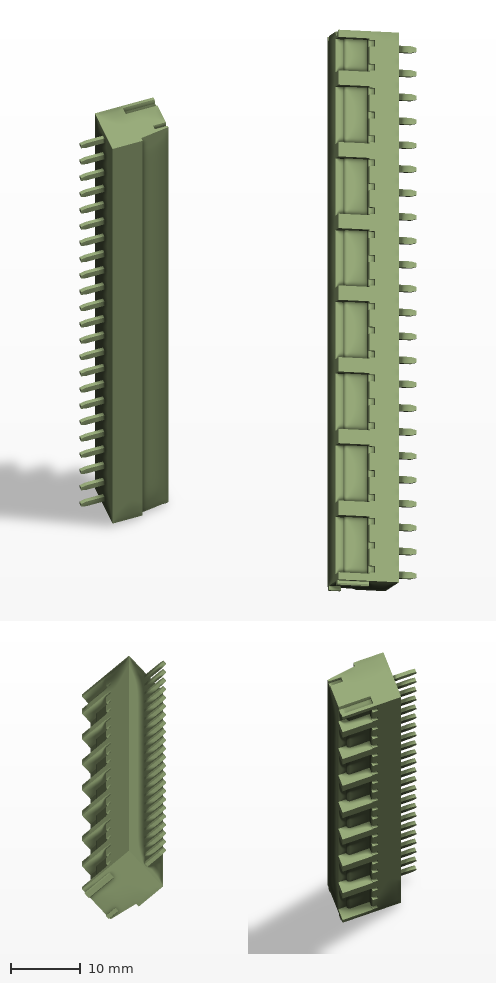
import cadquery as cq
import math

total_length = 81.05
total_depth = 12.6
width = 7.4
poles = 23
poles_per_bay = 3

body_depth = 9.0
key_height = 0.65
body_length = total_length - key_height
pitch = body_length / poles

slope_length = 4.4
slope_back_x = 6.2
slope_front_x = 6.8

rib_half = 1.05
bay_back_depth = 1.8
bay_step_radius = 0.5
bay_front_depth = bay_back_depth - bay_step_radius
bay_back_length = 1.2
bay_length = 4.6

notch_size = 1.0
notch_length = 0.8
notch_depth = 0.5

pin_x = width / 2
pin_width = 0.6
pin_height = 1.0
pin_tip_height = 0.6
pin_taper_length = 0.8
pin_embed = 0.8

key_middle_height = 0.4
keys = [
    (1.05, 0.8, 1.05, 0.8, 4.7),
    (5.5, 0.5, 0.65, 0.5, 1.8),
]

grooves = [
    (1.05, 1.2, 0.8, 4.9),
    (5.5, 0.7, 0.6, 1.95),
]


def make_body():
    outline = [
        (0, 0),
        (slope_back_x, 0),
        (slope_front_x, -slope_length),
        (width, -slope_length),
        (width, -body_depth),
        (0, -body_depth),
    ]
    return cq.Workplane("XY").polyline(outline).close().extrude(body_length)


def make_bay(bottom, top):
    """Recess with a deep pocket at the back and a rounded step up to its shallower front floor."""
    step_end_y = -bay_back_length - bay_step_radius
    round_middle = (
        bay_front_depth + bay_step_radius * (1 - math.sqrt(0.5)),
        step_end_y + bay_step_radius * math.sqrt(0.5),
    )
    profile = (
        cq.Workplane("XY", origin=(0, 0, bottom))
        .lineTo(bay_back_depth, 0)
        .lineTo(bay_back_depth, -bay_back_length)
        .threePointArc(round_middle, (bay_front_depth, step_end_y))
        .lineTo(bay_front_depth, -bay_length)
        .lineTo(0, -bay_length)
        .close()
    )
    return profile.extrude(top - bottom)


def make_notch(z):
    notch = cq.Workplane("XY").box(2 * notch_depth, notch_length, notch_size)
    return notch.translate((0, -bay_length - notch_length / 2, z))


def make_pin(z):
    """Flat pin whose tip narrows in Z only; it starts inside the housing to fuse with it."""
    root_y = -body_depth + pin_embed
    taper_y = -total_depth + pin_taper_length
    half = pin_height / 2
    tip_half = pin_tip_height / 2
    outline = [
        (root_y, z - half),
        (taper_y, z - half),
        (-total_depth, z - tip_half),
        (-total_depth, z + tip_half),
        (taper_y, z + half),
        (root_y, z + half),
    ]
    profile = cq.Workplane("YZ", origin=(pin_x, 0, 0)).polyline(outline).close()
    return profile.extrude(pin_width / 2, both=True)


def make_bar(center_x, top, levels, length):
    """Bar hanging below the height top; levels lists its (depth below top, width) pairs downwards."""
    left = [(center_x - bar_width / 2, top - drop) for drop, bar_width in levels]
    right = [(center_x + bar_width / 2, top - drop) for drop, bar_width in reversed(levels)]
    return cq.Workplane("XZ").polyline(left + right).close().extrude(length)


result = make_body()

for first_pole in range(0, poles, poles_per_bay):
    last_pole = min(first_pole + poles_per_bay, poles)
    result = result.cut(make_bay(first_pole * pitch + rib_half, last_pole * pitch - rib_half))

for pole in range(poles):
    pole_z = (pole + 0.5) * pitch
    result = result.cut(make_notch(pole_z)).union(make_pin(pole_z))

for center_x, root_width, widest_width, tip_width, length in keys:
    levels = [(0, root_width), (key_middle_height, widest_width), (key_height, tip_width)]
    result = result.union(make_bar(center_x, 0, levels, length))

for center_x, mouth_width, floor_width, length in grooves:
    levels = [(0, mouth_width), (key_height, floor_width)]
    result = result.cut(make_bar(center_x, body_length, levels, length))